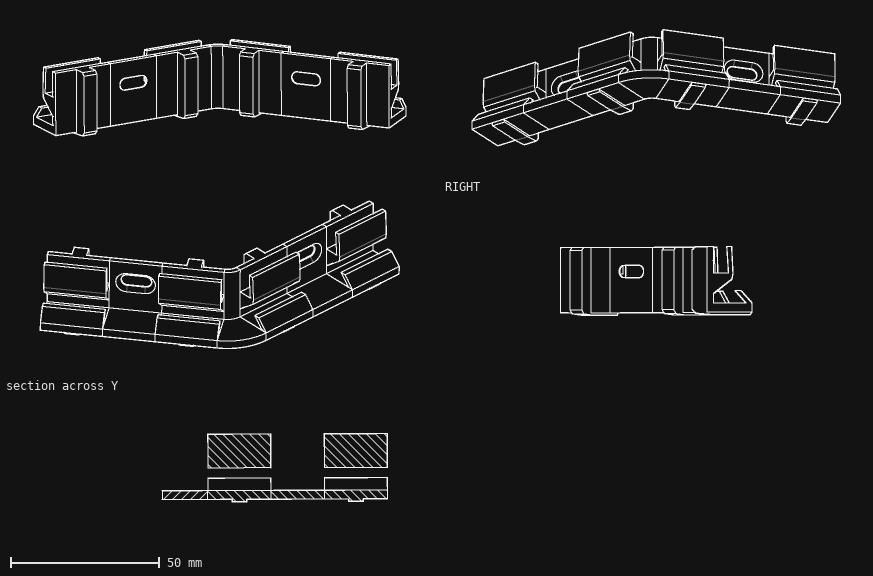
import cadquery as cq
import math

bend_angle = 52.2
outer_radius = 19.5
depth = 15.1
front_radius = outer_radius - depth
height = 22.0
tilt = 0.2
wall_thickness = 2.0
floor_thickness = 3.0

clip_length = 21.2
screw_length = 17.9

lip_top = 7.2
lip_lean = 3.7
lip_thickness = 2.0

bracket_root_height = 6.2
bracket_knee = 8.3
bracket_knee_height = 11.1
slot_floor_height = 13.0
prong_base_outer = 8.7
prong_base_inner = 7.1
prong_tip_outer = 8.2
prong_tip_inner = 6.5

rib_width = 5.0
rib_reach = 5.1
rib_drop = 0.8
rib_back_gap = 0.1
rib_back_chamfer = 0.6
rib_ramp_start = 1.1
rib_ramp_rise = 0.5
rib_toe_depth = 1.1
rib_toe_rise = 1.4
rib_top_chamfer = 1.0

screw_slot_length = 10.4
screw_slot_width = 4.2
screw_slot_height = 13.8
countersink = 1.6

floor_wall_outline = [
    (0, 0),
    (depth, 0),
    (depth, floor_thickness),
    (wall_thickness, floor_thickness),
    (wall_thickness, height),
    (0, height),
]

clip_outline = [
    (0, 0),
    (depth, 0),
    (depth, floor_thickness),
    (depth - lip_lean, lip_top),
    (depth - lip_lean - lip_thickness, lip_top),
    (depth - lip_thickness, floor_thickness),
    (wall_thickness, floor_thickness),
    (wall_thickness, bracket_root_height),
    (bracket_knee, bracket_knee_height),
    (prong_base_outer, slot_floor_height),
    (prong_tip_outer, height),
    (prong_tip_inner, height),
    (prong_base_inner, slot_floor_height),
    (wall_thickness, slot_floor_height),
    (wall_thickness, height),
    (0, height),
]

toe_bottom = rib_ramp_rise - rib_drop
rib_outline = [
    (wall_thickness / 2, height),
    (rib_top_chamfer - rib_reach, height),
    (-rib_reach, height - rib_top_chamfer),
    (-rib_reach, toe_bottom + rib_toe_rise),
    (rib_toe_depth - rib_reach, toe_bottom),
    (rib_ramp_start, -rib_drop),
    (depth - rib_back_gap - rib_back_chamfer, -rib_drop),
    (depth - rib_back_gap, 0),
    (depth - rib_back_gap, floor_thickness / 2),
    (wall_thickness / 2, floor_thickness / 2),
]


def sweep_along_arm(outline, start, length):
    """Extrude a (distance behind the wall front, height) outline along X."""
    plane = cq.Plane(origin=(start, front_radius, 0), xDir=(0, 1, 0), normal=(1, 0, 0))
    return cq.Workplane(plane).polyline(outline).close().extrude(length)


def make_clip(start):
    """Clip section with lip, prong and a centred rib."""
    clip = sweep_along_arm(clip_outline, start, clip_length)
    rib_start = start + (clip_length - rib_width) / 2
    return clip.union(sweep_along_arm(rib_outline, rib_start, rib_width))


def make_screw_section(start):
    """Plain floor and wall with a slot countersunk from its rear face."""
    section = sweep_along_arm(floor_wall_outline, start, screw_length)
    rear_face = cq.Plane(
        origin=(start + screw_length / 2, front_radius + wall_thickness, screw_slot_height),
        xDir=(1, 0, 0),
        normal=(0, -1, 0),
    )
    slot = cq.Workplane(rear_face).slot2D(screw_slot_length, screw_slot_width).extrude(wall_thickness)
    sink = (
        cq.Workplane(rear_face)
        .slot2D(screw_slot_length + 2 * countersink, screw_slot_width + 2 * countersink)
        .extrude(countersink, taper=45)
    )
    return section.cut(slot).cut(sink)


def make_bend():
    """Floor and wall revolved about the Z axis to join the two arms."""
    section = [(front_radius + distance, level) for distance, level in floor_wall_outline]
    return cq.Workplane("YZ").polyline(section).close().revolve(bend_angle, (0, 0), (0, 1))


def to_second_arm(body):
    """Mirror a body of the first arm and turn it onto the second arm."""
    return body.mirror("YZ").rotate((0, 0, 0), (0, 0, 1), bend_angle)


bend = make_bend()
clips = []
for clip_start in (0, clip_length + screw_length):
    clip = make_clip(clip_start)
    clips += [clip, to_second_arm(clip)]

screw_section = make_screw_section(clip_length)
screw_sections = [screw_section, to_second_arm(screw_section)]

level_bodies = [bend, *clips, *screw_sections]
tilted_bodies = [body.rotate((0, 0, 0), (0, 1, 0), -tilt) for body in level_bodies]

result = cq.Compound.makeCompound([body.val() for body in tilted_bodies])